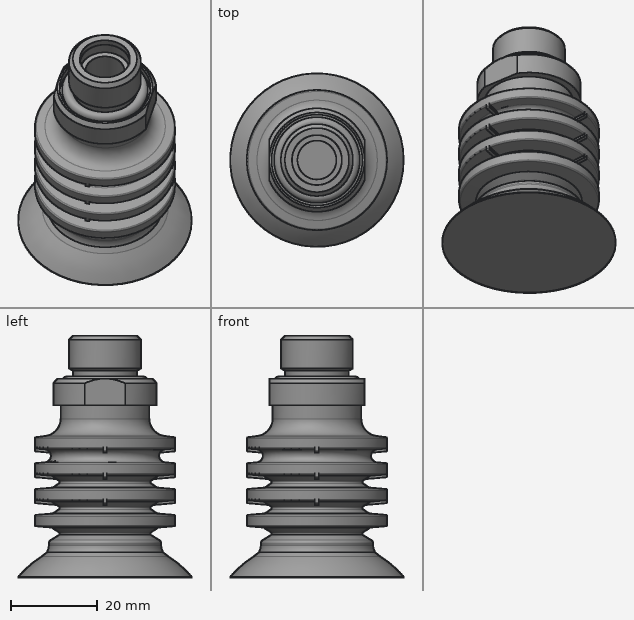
import cadquery as cq
import math

TOTAL_HEIGHT = 55.9
COLLAR_TOP = 39.8
WRENCH_TOP = 45.95

THREAD_DIAMETER = 16.65
RELIEF_DIAMETER = 14.8
THREAD_BOTTOM = 48.3
THREAD_TOP_CHAMFER_HEIGHT = 0.95
THREAD_LOWER_CHAMFER_HEIGHT = 0.5
WRENCH_DIAMETER = 23.95
WRENCH_FLAT_WIDTH = 22.05
WRENCH_CHAMFER_HEIGHT = 1.05
SOCKET_ENTRY_DIAMETER = 11.6
SOCKET_ENTRY_DEPTH = 1.5
SOCKET_DIAMETER = 11.5
SOCKET_DEPTH = 4.15
BORE_DIAMETER = 9.0

SEAL_SECTION_DIAMETER = 2.5
SEAL_PROTRUSION = 0.55
SEAL_GROOVE_DIAMETER = 21.0

COLLAR_RADIUS = 10.3
COLLAR_STRAIGHT_HEIGHT = 3.15
SHOULDER_RADIUS = 3.95
DISC_COUNT = 4
DISC_PITCH = 6.0
DISC_RADIUS = 16.2
DISC_RIM_HEIGHT = 2.6
DISC_SLOPE = 5.0
RIM_ROUND = 0.3
TOP_DISC_HEIGHT = 32.4

ROUND_GROOVE_RADIUS = 12.5
ROUND_GROOVE_MOUTH_RADIUS = 13.7
NECK_RADIUS = 10.5
NECK_DROP = 4.35
NECK_HALF_HEIGHT = 0.3
NECK_ROUND_DEPTH = 0.1
FLANK_TOP_RADIUS = 12.3
FLANK_BOTTOM_RADIUS = 12.0

RIB_WIDTH = 0.9
RIB_HEIGHT = 0.65

BEAD_RADIUS = 26.0 / 2
BEAD_TOP = 7.8
BEAD_BOTTOM = 7.5
LIP_RADIUS = 20.05
LIP_EDGE_HEIGHT = 0.15
BEAD_SHOULDER = (12.45, 8.7)
BEAD_ROUND_MIDDLE = (12.85, 8.4)
HOLLOW_MIDDLE = (13.15, 6.65)
CONE_TOP = (13.5, 5.8)
CONE_BOTTOM = (14.6, 4.9)
LIP_BULGE = (17.65, 2.6)

THREAD_RADIUS = THREAD_DIAMETER / 2
RELIEF_RADIUS = RELIEF_DIAMETER / 2
SEAL_RADIUS = SEAL_SECTION_DIAMETER / 2
SEAL_CENTRE_RADIUS = RELIEF_RADIUS + SEAL_RADIUS
SEAL_CENTRE_HEIGHT = WRENCH_TOP + SEAL_PROTRUSION - SEAL_RADIUS
SEAL_GROOVE_RADIUS = SEAL_GROOVE_DIAMETER / 2
SEAL_GROOVE_FLOOR = SEAL_CENTRE_HEIGHT - SEAL_RADIUS
SLOPE = math.tan(math.radians(DISC_SLOPE))
ROUND_45 = 1 - math.sqrt(0.5)


def disc_top(index):
    """Height of the rim top of a disc, counted from the uppermost."""
    return TOP_DISC_HEIGHT - index * DISC_PITCH


def upper_face(index, radius):
    """Height of the upper face of a disc at a radius."""
    return disc_top(index) + (DISC_RADIUS - radius) * SLOPE


def lower_face(index, radius):
    """Height of the lower face of a disc at a radius."""
    return disc_top(index) - DISC_RIM_HEIGHT - (DISC_RADIUS - radius) * SLOPE


def add_rim(profile, index):
    """Continue the profile over the rounded rim of a disc, from top to bottom."""
    inner = DISC_RADIUS - RIM_ROUND
    middle = DISC_RADIUS - RIM_ROUND * ROUND_45
    top = disc_top(index)
    bottom = top - DISC_RIM_HEIGHT
    profile = profile.lineTo(inner, upper_face(index, inner))
    profile = profile.threePointArc((middle, top - RIM_ROUND * ROUND_45), (DISC_RADIUS, top - RIM_ROUND))
    profile = profile.lineTo(DISC_RADIUS, bottom + RIM_ROUND)
    return profile.threePointArc((middle, bottom + RIM_ROUND * ROUND_45), (inner, lower_face(index, inner)))


def add_round_groove(profile, index):
    """Continue the profile through the shallow round groove below a disc."""
    mouth = ROUND_GROOVE_MOUTH_RADIUS
    top = lower_face(index, mouth)
    bottom = upper_face(index + 1, mouth)
    return profile.lineTo(mouth, top).threePointArc(
        (ROUND_GROOVE_RADIUS, (top + bottom) / 2), (mouth, bottom)
    )


def add_neck(profile, index):
    """Continue the profile down the flank below a disc and around the deep neck."""
    middle = disc_top(index) - NECK_DROP
    entry = NECK_RADIUS + NECK_ROUND_DEPTH
    profile = profile.lineTo(FLANK_TOP_RADIUS, lower_face(index, FLANK_TOP_RADIUS))
    profile = profile.lineTo(entry, middle + NECK_HALF_HEIGHT)
    return profile.threePointArc((NECK_RADIUS, middle), (entry, middle - NECK_HALF_HEIGHT))


def add_collar(profile):
    """Start the profile with the collar and its concave shoulder onto the uppermost disc."""
    straight_bottom = COLLAR_TOP - COLLAR_STRAIGHT_HEIGHT
    centre_radius = COLLAR_RADIUS + SHOULDER_RADIUS
    end_angle = math.radians(90 - DISC_SLOPE)

    def shoulder_point(angle):
        return (
            centre_radius - SHOULDER_RADIUS * math.cos(angle),
            straight_bottom - SHOULDER_RADIUS * math.sin(angle),
        )

    profile = profile.moveTo(0, COLLAR_TOP).lineTo(COLLAR_RADIUS, COLLAR_TOP)
    profile = profile.lineTo(COLLAR_RADIUS, straight_bottom)
    return profile.threePointArc(shoulder_point(end_angle / 2), shoulder_point(end_angle))


def add_suction_lip(profile):
    """Finish the profile with the bead and the flared lip below the lowest neck."""
    return (
        profile.lineTo(*BEAD_SHOULDER)
        .threePointArc(BEAD_ROUND_MIDDLE, (BEAD_RADIUS, BEAD_TOP))
        .lineTo(BEAD_RADIUS, BEAD_BOTTOM)
        .threePointArc(HOLLOW_MIDDLE, CONE_TOP)
        .lineTo(*CONE_BOTTOM)
        .threePointArc(LIP_BULGE, (LIP_RADIUS, LIP_EDGE_HEIGHT))
        .lineTo(LIP_RADIUS, 0)
        .lineTo(0, 0)
    )


def revolved(profile):
    """Turn a half profile, drawn as radius and height, about the Z axis."""
    return profile.close().revolve(360, (0, 0, 0), (0, 1, 0))


def make_ribs(index, inner_radius):
    """The cross of radial ribs below a disc, cut from a ring so that they are flush with the rim."""
    ring_top = disc_top(index) - DISC_RIM_HEIGHT + RIM_ROUND
    outer_bottom = lower_face(index, DISC_RADIUS) - RIB_HEIGHT
    corner = DISC_RADIUS - RIM_ROUND
    ring = revolved(
        cq.Workplane("XZ")
        .moveTo(inner_radius, ring_top)
        .lineTo(DISC_RADIUS, ring_top)
        .lineTo(DISC_RADIUS, outer_bottom + RIM_ROUND)
        .threePointArc(
            (DISC_RADIUS - RIM_ROUND * ROUND_45, outer_bottom + RIM_ROUND * ROUND_45),
            (corner, lower_face(index, corner) - RIB_HEIGHT),
        )
        .lineTo(inner_radius, lower_face(index, inner_radius) - RIB_HEIGHT)
    )
    bar = cq.Workplane("XY").box(2 * DISC_RADIUS, RIB_WIDTH, 2 * TOTAL_HEIGHT)
    cross = bar.union(bar.rotate((0, 0, 0), (0, 0, 1), 90))
    return ring.intersect(cross)


def make_bellows():
    profile = add_collar(cq.Workplane("XZ"))
    profile = add_rim(profile, 0)
    profile = add_round_groove(profile, 0)
    for index in range(1, DISC_COUNT):
        profile = add_rim(profile, index)
        profile = add_neck(profile, index)
        if index < DISC_COUNT - 1:
            profile = profile.lineTo(FLANK_BOTTOM_RADIUS, upper_face(index + 1, FLANK_BOTTOM_RADIUS))
    body = revolved(add_suction_lip(profile))
    for index in range(DISC_COUNT - 1):
        inner_radius = ROUND_GROOVE_RADIUS if index == 0 else NECK_RADIUS
        body = body.union(make_ribs(index, inner_radius))
    return body


def make_fitting():
    socket_floor = TOTAL_HEIGHT - SOCKET_DEPTH
    entry_floor = TOTAL_HEIGHT - SOCKET_ENTRY_DEPTH
    wrench_radius = WRENCH_DIAMETER / 2
    outline = [
        (BORE_DIAMETER / 2, COLLAR_TOP),
        (wrench_radius, COLLAR_TOP),
        (wrench_radius, WRENCH_TOP - WRENCH_CHAMFER_HEIGHT),
        (WRENCH_FLAT_WIDTH / 2, WRENCH_TOP),
        (SEAL_GROOVE_RADIUS, WRENCH_TOP),
        (SEAL_GROOVE_RADIUS, SEAL_GROOVE_FLOOR),
        (RELIEF_RADIUS, SEAL_GROOVE_FLOOR),
        (RELIEF_RADIUS, THREAD_BOTTOM - THREAD_LOWER_CHAMFER_HEIGHT),
        (THREAD_RADIUS, THREAD_BOTTOM),
        (THREAD_RADIUS, TOTAL_HEIGHT - THREAD_TOP_CHAMFER_HEIGHT),
        (RELIEF_RADIUS, TOTAL_HEIGHT),
        (SOCKET_ENTRY_DIAMETER / 2, TOTAL_HEIGHT),
        (SOCKET_ENTRY_DIAMETER / 2, entry_floor),
        (SOCKET_DIAMETER / 2, entry_floor),
        (SOCKET_DIAMETER / 2, socket_floor),
        (BORE_DIAMETER / 2, socket_floor),
    ]
    turned = revolved(cq.Workplane("XZ").polyline(outline))
    between_flats = cq.Workplane("XY").box(
        WRENCH_FLAT_WIDTH, WRENCH_DIAMETER, TOTAL_HEIGHT, centered=(True, True, False)
    )
    return turned.intersect(between_flats)


def make_seal_ring():
    return (
        cq.Workplane("XZ")
        .center(SEAL_CENTRE_RADIUS, SEAL_CENTRE_HEIGHT)
        .circle(SEAL_RADIUS)
        .revolve(360, (-SEAL_CENTRE_RADIUS, 0, 0), (-SEAL_CENTRE_RADIUS, 1, 0))
    )


bellows = make_bellows()
fitting = make_fitting()
seal_ring = make_seal_ring()

result = cq.Compound.makeCompound([bellows.val(), fitting.val(), seal_ring.val()])